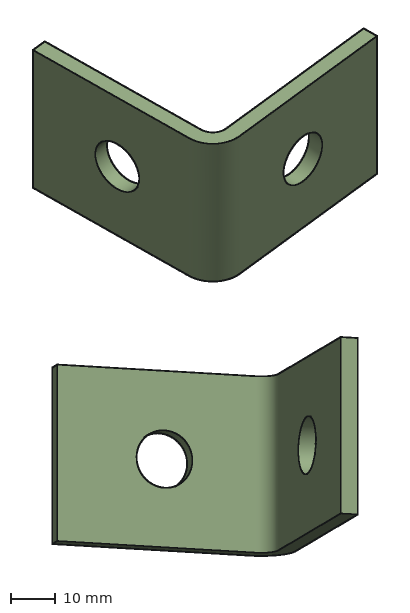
import cadquery as cq

leg_length = 54.3
width = 40.0
thickness = 4.0
inner_bend_radius = 4.0
hole_diameter = 13.0
hole_from_free_end = 25.0

outer_bend_radius = inner_bend_radius + thickness
hole_offset = leg_length - hole_from_free_end


def bent_plate():
    """L-shaped sheet with its outside corner at the origin; legs run along -X and +Y."""
    return (
        cq.Workplane("XY")
        .moveTo(-leg_length, 0)
        .lineTo(-outer_bend_radius, 0)
        .radiusArc((0, outer_bend_radius), -outer_bend_radius)
        .lineTo(0, leg_length)
        .lineTo(-thickness, leg_length)
        .lineTo(-thickness, outer_bend_radius)
        .radiusArc((-outer_bend_radius, thickness), inner_bend_radius)
        .lineTo(-leg_length, thickness)
        .close()
        .extrude(width)
    )


def leg_hole(start, direction):
    """Cylinder that passes through one leg, from its outside face inward."""
    return cq.Workplane(
        cq.Solid.makeCylinder(hole_diameter / 2, thickness, cq.Vector(*start), cq.Vector(*direction))
    )


x_leg_hole = leg_hole((-hole_offset, 0, width / 2), (0, 1, 0))
y_leg_hole = leg_hole((0, hole_offset, width / 2), (-1, 0, 0))

result = bent_plate().cut(x_leg_hole).cut(y_leg_hole)